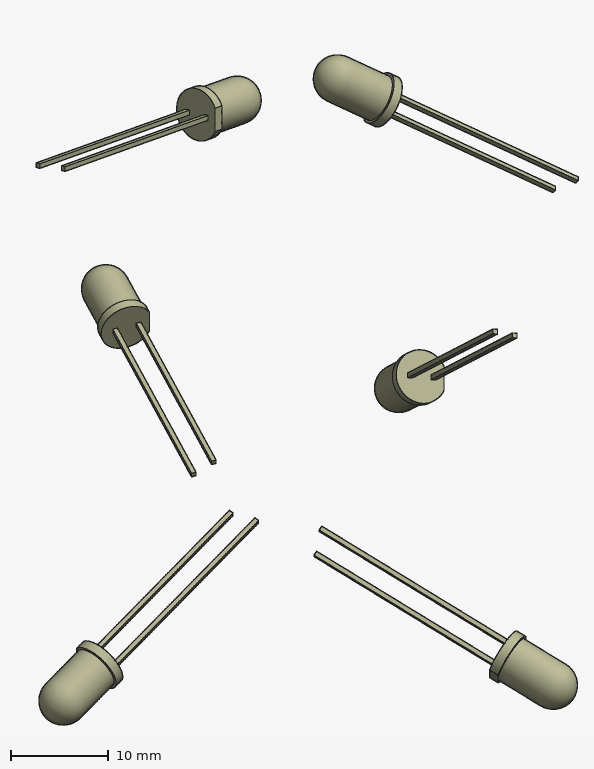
import cadquery as cq

total_length = 31.65
lens_length = 8.65
lens_radius = 2.5
flange_radius = 2.8
flange_thickness = 1.05
lead_width = 0.5
lead_pitch = 2.55
lead_length_difference = 1.0

long_lead_length = total_length - lens_length
short_lead_length = long_lead_length - lead_length_difference
dome_start = lens_length - lens_radius


def make_lens():
    """Cylinder closed by a hemispherical dome, revolved about Y."""
    dome_middle = lens_radius * 0.5 ** 0.5
    return (
        cq.Workplane("XY")
        .lineTo(lens_radius, 0)
        .lineTo(lens_radius, dome_start)
        .threePointArc((dome_middle, dome_start + dome_middle), (0, lens_length))
        .close()
        .revolve(360, (0, 0), (0, 1))
    )


def make_flange():
    """Round flange cut flat on +X, flush with the lens side."""
    disc = cq.Workplane("XZ").circle(flange_radius).extrude(-flange_thickness)
    keep_width = flange_radius + lens_radius
    keep = (
        cq.Workplane("XZ")
        .center((lens_radius - flange_radius) / 2, 0)
        .rect(keep_width, 2 * flange_radius)
        .extrude(-flange_thickness)
    )
    return disc.intersect(keep)


def make_lead(x, length):
    """Square lead running from the flange underside towards -Y."""
    return cq.Workplane("XZ").center(x, 0).rect(lead_width, lead_width).extrude(length)


result = make_lens().union(make_flange())
for lead_x, lead_length in (
    (-lead_pitch / 2, long_lead_length),
    (lead_pitch / 2, short_lead_length),
):
    result = result.union(make_lead(lead_x, lead_length))